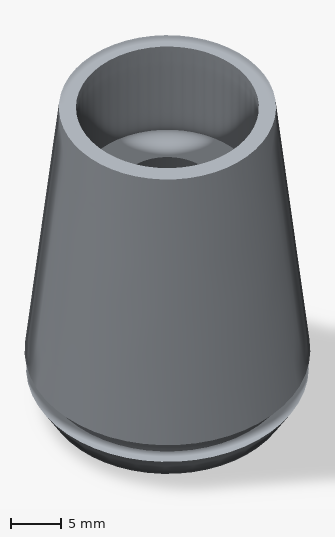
import cadquery as cq

height = 38.0
top_radius = 10.83
shoulder_radius = 14.25

foot_height = 3.23
groove_width = 2.35
groove_radius = 12.55
foot_top_radius = 14.1
foot_bottom_radius = 12.27

bore_radius = 9.12
bore_depth = 11.1
hole_radius = 5.0

groove_top = foot_height + groove_width

body = (
    cq.Workplane("XZ")
    .moveTo(0, 0)
    .lineTo(foot_bottom_radius, 0)
    .lineTo(foot_top_radius, foot_height)
    .lineTo(groove_radius, foot_height)
    .lineTo(groove_radius, groove_top)
    .lineTo(shoulder_radius, groove_top)
    .lineTo(top_radius, height)
    .lineTo(0, height)
    .close()
    .revolve(360, (0, 0, 0), (0, 1, 0))
)

result = (
    body.faces(">Z").workplane()
    .cboreHole(2 * hole_radius, 2 * bore_radius, bore_depth)
)